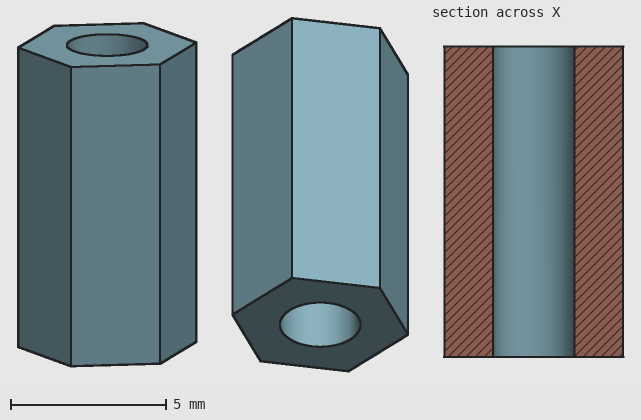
import cadquery as cq
import math

height = 10.0
across_flats = 5.0
bore_diameter = 2.6

side_count = 6
across_corners = across_flats / math.cos(math.pi / side_count)
corner_turn = 90.0

hex_body = (
    cq.Workplane("XY")
    .polygon(side_count, across_corners)
    .extrude(height)
    .rotate((0, 0, 0), (0, 0, 1), corner_turn)
)

bore = cq.Workplane("XY").circle(bore_diameter / 2).extrude(height)

result = hex_body.cut(bore)